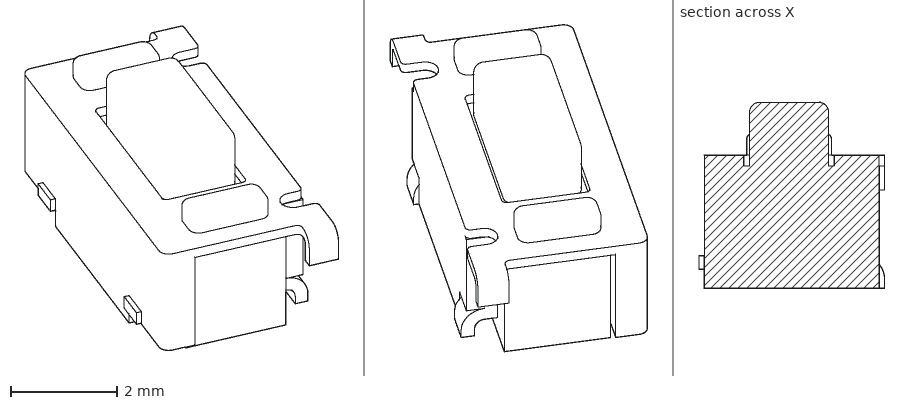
import cadquery as cq


cover_half_x = 3.45
cover_half_y = 1.65
cover_top = 2.51
cover_bottom = 0.34
plate_thickness = 0.2
cover_corner_radius = 0.2
plate_corner_radius = 0.1
plate_bottom = cover_top - plate_thickness
front_block_rear_y = -1.0

base_half_x = 3.0
base_rear_y = 1.05
skirt_half_x = 1.8
rear_wall_half_x = 2.4

tab_end_x = 3.9
tab_rear_y = 1.75
tab_front_y = 1.15
tab_bottom = 1.85
tab_bend_radius = 0.3
tab_root_radius = tab_front_y - base_rear_y
slot_outer_x = 2.88
slot_wall_setback = 0.02
slot_inner_x = rear_wall_half_x - slot_wall_setback
slot_radius = (slot_outer_x - slot_inner_x) / 2
slot_bottom_y = 1.1

button_center_y = -0.05
button_length = 3.0
button_width = 1.5
button_top = 3.51
button_radius = 0.2
window_end_gap = 0.2
window_side_gap = 0.1
window_corner_radius = 0.1
window_length = button_length + 2 * window_end_gap
window_width = button_width + 2 * window_side_gap
post_length = 1.6
post_width = 0.7
post_top = 2.91
post_center_x = base_half_x - post_width / 2
post_corner_radius = 0.2
post_edge_radius = 0.1

terminal_width = rear_wall_half_x - skirt_half_x
terminal_top = 0.62
terminal_thickness = 0.26
terminal_end_y = 1.75
terminal_outer_radius = 0.45
terminal_inner_radius = terminal_outer_radius - terminal_thickness


def box(x_min, x_max, y_min, y_max, z_min, z_max):
    """Axis-aligned block between the given limits."""
    size = (x_max - x_min, y_max - y_min, z_max - z_min)
    return cq.Workplane("XY").box(*size, centered=False).translate((x_min, y_min, z_min))


def mirrored_pair(right_half):
    """A feature on the +X side together with its mirror image."""
    return right_half.union(right_half.mirror("YZ"))


def make_base():
    """Plastic base with a narrower rear wall and, between the terminals, a skirt."""
    core = box(-base_half_x, base_half_x, front_block_rear_y, base_rear_y, 0, plate_bottom)
    rear_wall = box(
        -rear_wall_half_x, rear_wall_half_x, base_rear_y, cover_half_y, terminal_top, plate_bottom
    )
    skirt = box(-skirt_half_x, skirt_half_x, -cover_half_y, cover_half_y, 0, terminal_top)
    return core.union(rear_wall).union(skirt)


def make_cover():
    """Top plate plus the full-width front block, with rounded front corners."""
    plate = box(-cover_half_x, cover_half_x, -cover_half_y, base_rear_y, plate_bottom, cover_top)
    front_block = box(
        -cover_half_x, cover_half_x, -cover_half_y, front_block_rear_y, cover_bottom, cover_top
    )
    front_part = plate.union(front_block).edges("|Z and <Y").fillet(cover_corner_radius)
    rear_edge = box(
        -slot_inner_x, slot_inner_x, base_rear_y, cover_half_y, plate_bottom, cover_top
    )
    rear_edge = rear_edge.edges("|Z and >Y").fillet(plate_corner_radius)
    return front_part.union(rear_edge)


def make_tab():
    """Right-hand hooked tab: a strip bent down at its outer end."""
    inner_radius = tab_bend_radius - plate_thickness
    root = box(slot_outer_x, cover_half_x, base_rear_y, tab_rear_y, plate_bottom, cover_top)
    root = root.edges("|Z and <X and >Y").fillet(plate_corner_radius)
    hook = (
        cq.Workplane("XZ", origin=(0, tab_rear_y, 0))
        .moveTo(cover_half_x, cover_top)
        .lineTo(tab_end_x - tab_bend_radius, cover_top)
        .radiusArc((tab_end_x, cover_top - tab_bend_radius), tab_bend_radius)
        .lineTo(tab_end_x, tab_bottom)
        .lineTo(tab_end_x - plate_thickness, tab_bottom)
        .lineTo(tab_end_x - plate_thickness, plate_bottom - inner_radius)
        .radiusArc((tab_end_x - tab_bend_radius, plate_bottom), -inner_radius)
        .lineTo(cover_half_x, plate_bottom)
        .close()
        .extrude(tab_rear_y - tab_front_y)
    )
    root_fillet = (
        cq.Workplane("XY", origin=(0, 0, plate_bottom))
        .moveTo(cover_half_x, base_rear_y)
        .radiusArc((cover_half_x + tab_root_radius, tab_front_y), tab_root_radius)
        .lineTo(cover_half_x, tab_front_y)
        .close()
        .extrude(plate_thickness)
    )
    return root.union(hook).union(root_fillet)


def make_slot_end():
    """Material around the rounded end of the slot between tab and rear edge."""
    center_x = (slot_outer_x + slot_inner_x) / 2
    center_y = slot_bottom_y + slot_radius
    filler = box(slot_inner_x, slot_outer_x, base_rear_y, center_y, plate_bottom, cover_top)
    round_end = (
        cq.Workplane("XY", origin=(center_x, center_y, plate_bottom))
        .circle(slot_radius)
        .extrude(plate_thickness)
    )
    return filler.cut(round_end)


def make_window():
    """Shallow opening in the cover around the button."""
    return (
        cq.Workplane("XY", origin=(0, button_center_y, plate_bottom))
        .rect(window_length, window_width)
        .extrude(plate_thickness)
        .edges("|Z")
        .fillet(window_corner_radius)
    )


def make_button():
    """Push button rising from the window floor, with ball-rounded top corners."""
    return (
        cq.Workplane("XY", origin=(0, button_center_y, plate_bottom))
        .rect(button_length, button_width)
        .extrude(button_top - plate_bottom)
        .edges("|Z or >Z")
        .fillet(button_radius)
    )


def make_post():
    """Right-hand locating post with rounded vertical corners and top rim."""
    return (
        cq.Workplane("XY", origin=(post_center_x, button_center_y, cover_top))
        .rect(post_width, post_length)
        .extrude(post_top - cover_top)
        .edges("|Z")
        .fillet(post_corner_radius)
        .faces(">Z")
        .edges()
        .fillet(post_edge_radius)
    )


def make_front_terminal():
    """Right-hand front terminal, a flat bar just proud of the front face."""
    return box(
        skirt_half_x,
        skirt_half_x + terminal_width,
        -terminal_end_y,
        front_block_rear_y,
        terminal_top - terminal_thickness,
        terminal_top,
    )


def make_rear_terminal():
    """Right-hand rear terminal, bent down to the mounting plane."""
    inner_y = terminal_end_y - terminal_thickness
    terminal_under = terminal_top - terminal_thickness
    bend_y = terminal_end_y - terminal_outer_radius
    return (
        cq.Workplane("YZ", origin=(skirt_half_x, 0, 0))
        .moveTo(base_rear_y, terminal_top)
        .lineTo(bend_y, terminal_top)
        .radiusArc((terminal_end_y, terminal_top - terminal_outer_radius), terminal_outer_radius)
        .lineTo(terminal_end_y, 0)
        .lineTo(inner_y, 0)
        .lineTo(inner_y, terminal_under - terminal_inner_radius)
        .radiusArc((bend_y, terminal_under), -terminal_inner_radius)
        .lineTo(base_rear_y, terminal_under)
        .close()
        .extrude(terminal_width)
    )


result = make_base().union(make_cover())
for make_feature in (make_tab, make_slot_end, make_front_terminal, make_rear_terminal, make_post):
    result = result.union(mirrored_pair(make_feature()))
result = result.cut(make_window()).union(make_button())